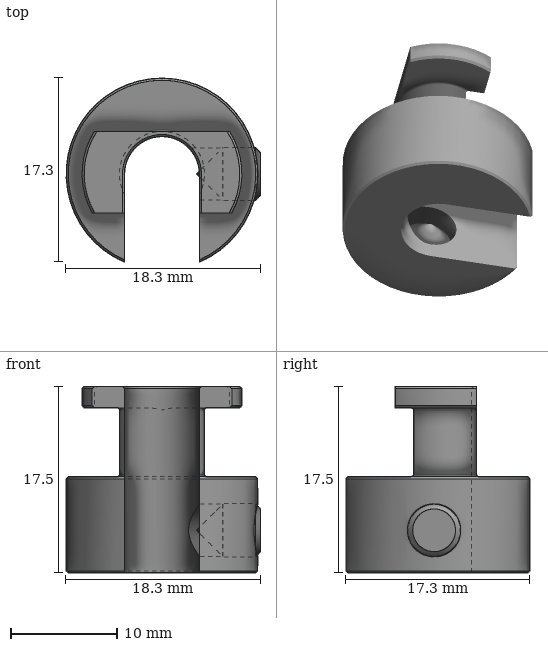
import cadquery as cq

base_radius = 9.0
base_height = 9.03
total_height = 17.5
stem_radius = 4.0
stem_fillet = 0.2
head_radius = 7.5
head_thickness = 2.0
head_front_y = -3.65
head_back_y = stem_radius
slot_radius = 3.5
edge_chamfer = 0.2

head_bottom = total_height - head_thickness

screw_height = 4.0
screw_hole_diameter = 4.91
screw_diameter = 5.0
screw_tip_x = 3.25
screw_end_x = 9.25
screw_end_chamfer = 0.5


def slot_cutter(radius, bottom, height, taper=0):
    """Round-ended slot running out past the base towards -Y; a negative taper widens it upwards."""
    slot_end = -2 * base_radius
    return (
        cq.Workplane("XY", origin=(0, 0, bottom))
        .moveTo(-radius, slot_end)
        .lineTo(-radius, 0)
        .threePointArc((0, radius), (radius, 0))
        .lineTo(radius, slot_end)
        .close()
        .extrude(height, taper=taper)
    )


def make_base():
    return cq.Workplane("XY").circle(base_radius).extrude(base_height).edges().chamfer(edge_chamfer)


def make_stem():
    """Stem revolved about Z, flaring with a concave fillet into the base and the head."""
    flare_radius = stem_radius + stem_fillet
    fillet_start = base_height + stem_fillet
    fillet_end = head_bottom - stem_fillet
    profile = (
        cq.Workplane("XZ")
        .moveTo(0, base_height)
        .lineTo(flare_radius, base_height)
        .radiusArc((stem_radius, fillet_start), stem_fillet)
        .lineTo(stem_radius, fillet_end)
        .radiusArc((flare_radius, head_bottom), stem_fillet)
        .lineTo(0, head_bottom)
        .close()
    )
    stem = profile.revolve(360, (0, 0, 0), (0, 1, 0))
    overhang = (
        cq.Workplane("XY", origin=(0, head_back_y + stem_fillet, fillet_end))
        .rect(2 * flare_radius, 2 * stem_fillet)
        .extrude(stem_fillet)
    )
    return stem.cut(overhang)


def make_head():
    """Chamfered disc trimmed to flat front and back faces."""
    disc = (
        cq.Workplane("XY", origin=(0, 0, head_bottom))
        .circle(head_radius)
        .extrude(head_thickness)
        .edges()
        .chamfer(edge_chamfer)
    )
    trim = (
        cq.Workplane("XY", origin=(0, (head_front_y + head_back_y) / 2, head_bottom))
        .rect(2 * head_radius, head_back_y - head_front_y)
        .extrude(head_thickness)
    )
    return disc.intersect(trim)


def make_slot():
    """Full-height slot with a chamfered rim at the top of the head."""
    slot = slot_cutter(slot_radius, 0, total_height)
    rim = slot_cutter(slot_radius, total_height - edge_chamfer, edge_chamfer, taper=-45)
    return slot.union(rim)


def make_screw_hole():
    return (
        cq.Workplane("YZ", origin=(0, 0, screw_height))
        .circle(screw_hole_diameter / 2)
        .extrude(base_radius)
    )


def make_housing(screw):
    """Base, stem and head in one piece; the screw sits in a matching seat slightly wider than its hole."""
    body = make_base().union(make_stem()).union(make_head())
    return body.cut(make_slot()).cut(make_screw_hole()).cut(screw)


def make_set_screw():
    """Screw revolved about its axis, with a 90 degree point and a chamfered outer end."""
    radius = screw_diameter / 2
    return (
        cq.Workplane("XZ", origin=(0, 0, screw_height))
        .moveTo(screw_tip_x, 0)
        .lineTo(screw_tip_x + radius, radius)
        .lineTo(screw_end_x - screw_end_chamfer, radius)
        .lineTo(screw_end_x, radius - screw_end_chamfer)
        .lineTo(screw_end_x, 0)
        .close()
        .revolve(360, (0, 0, 0), (1, 0, 0))
    )


set_screw = make_set_screw()
housing = make_housing(set_screw)

result = cq.Compound.makeCompound([housing.val(), set_screw.val()])